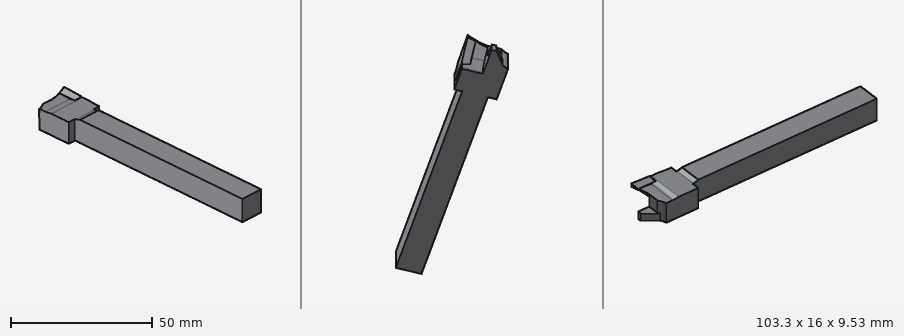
import cadquery as cq
import math


OVERALL_LENGTH = 103.3
SHANK_SIZE = 9.53
HALF_SHANK = SHANK_SIZE / 2
NECK_START = 21.1
NECK_END = 23.3

HEAD_BACK = 20.8
HALF_HEAD = 8.0
HEAD_TOP = 8.9
SIDE_RELIEF = 0.35
HEAD_SIDE = HALF_HEAD - SIDE_RELIEF
FACE_X = 4.95
FACE_LOW_Y = -4.85
CORNER_X = 6.4
CORNER_Y = -7.0
CORNER_ARC_X = 6.15
CORNER_SAG = 0.06
FACE_SAG = 0.2

FORMER_FLAT_Z = 8.6
FORMER_ARC_START = 9.3
FORMER_ARC_END = 12.1

LIP_TIP_X = 3.1
LIP_INNER_X = 3.8
LIP_INNER_Y = HALF_SHANK
LIP_BACK = 11.6
LIP_SLOPE_X = 0.05
LIP_SLOPE_Y = 0.28
LIP_EDGE_Z = 8.1
LIP_UNDER_SLOPE = 0.74

BLADE_BOTTOM = 2.55
BLADE_STRAIGHT_END = 15.0
BLADE_END = 18.8

CLEAR_EDGE_Z = 8.28
CLEAR_SLOPE = 0.65
CLEAR_ARC_TOP_Z = 4.9
CLEAR_ARC_BOTTOM_Z = 0.95

SUPPORT_HEIGHT = 3.18
SUPPORT_TIP_Y = -1.65
SUPPORT_ROOT_X = 5.88
SUPPORT_ROOT_Y = -6.0
SUPPORT_BACK_X = 9.3

MARGIN = 1.0


def prism_xz(profile, y_low, y_high):
    """Extrude a closed XZ sketch from y_low to y_high."""
    return profile.close().extrude(-(y_high - y_low)).translate((0, y_low, 0))


def tangent_rise_middle(x_start, z_start, x_end, z_end):
    """Middle point of an arc that leaves the start point horizontally and rises to the end."""
    run = x_end - x_start
    rise = z_end - z_start
    radius = (run**2 + rise**2) / (2 * rise)
    half_angle = math.asin(run / radius) / 2
    return (
        x_start + radius * math.sin(half_angle),
        z_start + radius * (1 - math.cos(half_angle)),
    )


def arc_middle(start, end, sag):
    """Middle point of an arc hollowed by sag towards +X, for ends running down in Y."""
    run_x = end[0] - start[0]
    run_y = end[1] - start[1]
    length = math.hypot(run_x, run_y)
    return (
        (start[0] + end[0]) / 2 - sag * run_y / length,
        (start[1] + end[1]) / 2 + sag * run_x / length,
    )


def make_shank():
    middle = tangent_rise_middle(NECK_START, HEAD_TOP, NECK_END, SHANK_SIZE)
    profile = (
        cq.Workplane("XZ")
        .moveTo(HEAD_BACK - MARGIN, 0)
        .lineTo(OVERALL_LENGTH, 0)
        .lineTo(OVERALL_LENGTH, SHANK_SIZE)
        .lineTo(NECK_END, SHANK_SIZE)
        .threePointArc(middle, (NECK_START, HEAD_TOP))
        .lineTo(HEAD_BACK - MARGIN, HEAD_TOP)
    )
    return prism_xz(profile, -HALF_SHANK, HALF_SHANK)


def make_head_block():
    """Plan outline of the head, with the hollow -Y corner and the swept front edge."""
    face_middle = arc_middle((LIP_INNER_X, LIP_INNER_Y), (FACE_X, 0), FACE_SAG)
    corner_middle = arc_middle((FACE_X, FACE_LOW_Y), (CORNER_ARC_X, CORNER_Y), CORNER_SAG)
    block = (
        cq.Workplane("XY")
        .moveTo(HEAD_BACK, -HALF_HEAD)
        .lineTo(HEAD_BACK, HEAD_SIDE)
        .lineTo(BLADE_END, HEAD_SIDE)
        .lineTo(BLADE_STRAIGHT_END, HALF_HEAD)
        .lineTo(LIP_TIP_X, HALF_HEAD)
        .lineTo(LIP_INNER_X, LIP_INNER_Y)
        .threePointArc(face_middle, (FACE_X, 0))
        .lineTo(FACE_X, FACE_LOW_Y)
        .threePointArc(corner_middle, (CORNER_ARC_X, CORNER_Y))
        .lineTo(CORNER_X, -HALF_HEAD)
        .close()
        .extrude(SHANK_SIZE)
    )
    side_relief = (
        cq.Workplane("XY")
        .box(HEAD_BACK, MARGIN, BLADE_BOTTOM, centered=False)
        .translate((0, HEAD_SIDE, 0))
    )
    return block.cut(side_relief)


def make_top_waste():
    """Material above the chip former and the head top."""
    middle = tangent_rise_middle(FORMER_ARC_START, FORMER_FLAT_Z, FORMER_ARC_END, HEAD_TOP)
    above = SHANK_SIZE + MARGIN
    profile = (
        cq.Workplane("XZ")
        .moveTo(0, FORMER_FLAT_Z)
        .lineTo(FORMER_ARC_START, FORMER_FLAT_Z)
        .threePointArc(middle, (FORMER_ARC_END, HEAD_TOP))
        .lineTo(HEAD_BACK, HEAD_TOP)
        .lineTo(HEAD_BACK, above)
        .lineTo(0, above)
    )
    return prism_xz(profile, -HALF_HEAD - MARGIN, HALF_HEAD + MARGIN)


def lip_top_z(x, y):
    return SHANK_SIZE - LIP_SLOPE_X * (x - LIP_TIP_X) - LIP_SLOPE_Y * (HALF_HEAD - y)


def make_lip_waste():
    """Material above the lip top, which slopes down towards +X and -Y."""
    above = SHANK_SIZE + MARGIN

    def section(y):
        points = [
            (0, y, lip_top_z(0, y)),
            (LIP_BACK, y, lip_top_z(LIP_BACK, y)),
            (LIP_BACK, y, above),
            (0, y, above),
        ]
        return cq.Wire.makePolygon([cq.Vector(*p) for p in points], close=True)

    sections = [section(LIP_INNER_Y), section(HALF_HEAD)]
    return cq.Workplane(cq.Solid.makeLoft(sections, True))


def make_clearance(y_low, y_high):
    """Hollow below the lip: a sloped roof running tangentially into a concave back wall."""
    roof_angle = math.atan(CLEAR_SLOPE)
    radius = (CLEAR_ARC_TOP_Z - CLEAR_ARC_BOTTOM_Z) / math.cos(roof_angle)
    arc_top_x = LIP_INNER_X + (CLEAR_EDGE_Z - CLEAR_ARC_TOP_Z) / CLEAR_SLOPE
    centre_x = arc_top_x - radius * math.sin(roof_angle)
    wall_x = centre_x + radius
    middle_angle = (math.pi / 2 - roof_angle) / 2
    middle = (
        centre_x + radius * math.cos(middle_angle),
        CLEAR_ARC_BOTTOM_Z + radius * math.sin(middle_angle),
    )
    profile = (
        cq.Workplane("XZ")
        .moveTo(0, -MARGIN)
        .lineTo(wall_x, -MARGIN)
        .lineTo(wall_x, CLEAR_ARC_BOTTOM_Z)
        .threePointArc(middle, (arc_top_x, CLEAR_ARC_TOP_Z))
        .lineTo(0, CLEAR_EDGE_Z + CLEAR_SLOPE * LIP_INNER_X)
    )
    return prism_xz(profile, y_low, y_high)


def make_below_lip():
    """Space below the underside of the lip, which follows the slanted front edge."""

    def section(edge_x, y):
        points = [
            (0, y, LIP_EDGE_Z + LIP_UNDER_SLOPE * edge_x),
            (edge_x + (LIP_EDGE_Z + MARGIN) / LIP_UNDER_SLOPE, y, -MARGIN),
            (0, y, -MARGIN),
        ]
        return cq.Wire.makePolygon([cq.Vector(*p) for p in points], close=True)

    sections = [section(LIP_INNER_X, LIP_INNER_Y), section(LIP_TIP_X, HALF_HEAD)]
    return cq.Workplane(cq.Solid.makeLoft(sections, True))


def make_support():
    return (
        cq.Workplane("XY")
        .moveTo(0, 0)
        .lineTo(0, SUPPORT_TIP_Y)
        .lineTo(SUPPORT_ROOT_X, SUPPORT_ROOT_Y)
        .lineTo(SUPPORT_BACK_X, SUPPORT_ROOT_Y)
        .lineTo(SUPPORT_BACK_X, 0)
        .close()
        .extrude(SUPPORT_HEIGHT)
    )


def make_head():
    lip_zone = (
        cq.Workplane("XY")
        .box(LIP_BACK, HALF_HEAD, SHANK_SIZE + 2 * MARGIN, centered=False)
        .translate((0, LIP_INNER_Y, 0))
    )
    head = make_head_block()
    head = head.cut(make_top_waste().cut(lip_zone))
    head = head.cut(make_lip_waste())
    head = head.cut(make_clearance(0, LIP_INNER_Y))
    lip_clearance = make_clearance(LIP_INNER_Y, HALF_HEAD).intersect(make_below_lip())
    return head.cut(lip_clearance)


result = make_head().union(make_support()).union(make_shank())